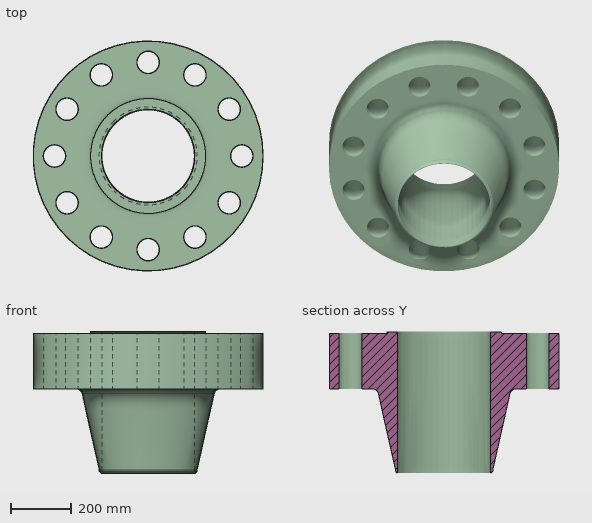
import cadquery as cq
import math

flange_diameter = 762.0
total_height = 470.0
flange_thickness = 184.5
raised_face_height = 6.0
raised_face_diameter = 381.0
bore_diameter = 306.0

hub_base_diameter = 437.5
hub_base_drop = 15.0
neck_diameter = 324.5
neck_length = 14.0
bevel_height = 8.0
bevel_width = 7.0

bolt_count = 12
bolt_circle_diameter = 620.0
bolt_hole_diameter = 73.0

flange_top = total_height - raised_face_height
flange_bottom = flange_top - flange_thickness
hub_base = flange_bottom - hub_base_drop

bore_radius = bore_diameter / 2
neck_radius = neck_diameter / 2
hub_base_radius = hub_base_diameter / 2
flange_radius = flange_diameter / 2
raised_face_radius = raised_face_diameter / 2

taper_angle = math.atan2(hub_base_radius - neck_radius, hub_base - neck_length)
root_fillet_radius = hub_base_drop / (1 - math.sin(taper_angle))
root_flare = root_fillet_radius * math.cos(taper_angle)


def make_body():
    """Revolve the half section, leaving the bore open."""
    profile = (
        cq.Workplane("XZ")
        .moveTo(bore_radius, 0)
        .lineTo(neck_radius - bevel_width, 0)
        .lineTo(neck_radius, bevel_height)
        .lineTo(neck_radius, neck_length)
        .lineTo(hub_base_radius, hub_base)
        .tangentArcPoint((hub_base_radius + root_flare, flange_bottom), relative=False)
        .lineTo(flange_radius, flange_bottom)
        .lineTo(flange_radius, flange_top)
        .lineTo(raised_face_radius, flange_top)
        .lineTo(raised_face_radius, total_height)
        .lineTo(bore_radius, total_height)
        .close()
    )
    return profile.revolve(360, (0, 0), (0, 1))


def make_bolt_holes():
    """Cylinders through the flange; one hole lies on the +X axis."""
    return (
        cq.Workplane("XY", origin=(0, 0, flange_bottom))
        .polarArray(bolt_circle_diameter / 2, 0, 360, bolt_count)
        .circle(bolt_hole_diameter / 2)
        .extrude(flange_thickness)
    )


result = make_body().cut(make_bolt_holes())